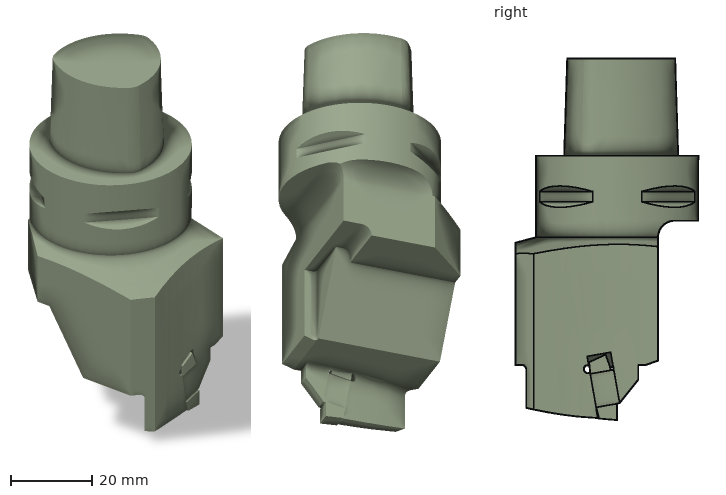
import cadquery as cq
import math

FAR = 53.4

SHANK_HEIGHT = 23.9
SHANK_TAPER = 1.8
LOBE_FLAT_REACH = 13.1
LOBE_CENTER_OFFSET = 5.7
LOBE_APEX_REACH = 15.0

FLANGE_RADIUS = 40.0 / 2
FLANGE_BOTTOM = -20.0
GROOVE_Z = -10.1
GROOVE_FLOOR_DISTANCE = 17.7
GROOVE_FLOOR_HEIGHT = 2.5
GROOVE_MOUTH_HEIGHT = 5.25
UNDERCUT_RADIUS = 4.0

BLOCK_LEFT = -14.9
BLOCK_FRONT = -25.0
BLOCK_BACK = 10.1
BLOCK_BOTTOM = -51.45
LEFT_CHAMFER = 10.95
RIGHT_CHAMFER_X = 24.5
RIGHT_CORNER = (28.5, -20.5)
RIGHT_HOLLOW = (26.5, 1.8)
RIGHT_BACK_X = 26.9
TOP_SLOPE = 15.0
STEP_Z = -34.5
STEP_X = -0.4
SLOPE_END_X = 10.0
NOTCH_Y = 2.7
NOTCH_TOP = -31.9
NOTCH_RADIUS = 2.7
RECESS_WALL_X = 11.6
RECESS_Y = 7.0
RECESS_FILLET = 1.1
BEVEL_DEPTH = 3.0
BEVEL_HEIGHT = 1.1

BLADE_THICKNESS = 3.3
BLADE_FRONT = -22.6
BLADE_FRONT_X = 26.9
BLADE_INNER_BACK_X = 23.7
BLADE_BACK = 5.2
BLADE_ROOT_FILLET = 1.25
NOSE_TOP_Z = -55.1
NOSE_END = (0.5, -60.9)
BLADE_HEEL_Z = -61.95
BLADE_LOW_MID = (-12.5, -63.8)
BLADE_LOW_END = (-4.6, -64.5)

INSERT_Y = -3.0
INSERT_Z = -57.2
INSERT_TILT = 10.0
INSERT_WIDTH = 5.9
INSERT_BAR_LENGTH = 8.4
INSERT_BAR_X = (23.4, 26.5)
INSERT_TIP_X = (23.05, 27.1)
TIP_BACK_SIDE = 2.3
TIP_EDGE = (1.6, 8.2)
TIP_HEEL = (-2.8, 7.0)
SLOT_END = 8.55
RELIEF_RADIUS = 1.0
RELIEF_CENTER = (-3.3, 5.4)


def polar(radius, degrees):
    angle = math.radians(degrees)
    return (radius * math.cos(angle), radius * math.sin(angle))


def make_shank():
    """Three broad arcs blended by three tangent corner arcs, tapered upward."""
    broad_radius = LOBE_FLAT_REACH + LOBE_CENTER_OFFSET
    excess = broad_radius - LOBE_APEX_REACH
    corner_distance = (LOBE_CENTER_OFFSET**2 - excess**2) / (2 * excess - LOBE_CENTER_OFFSET)
    corner = polar(corner_distance, 90)
    center = polar(LOBE_CENTER_OFFSET, 210)
    join = math.degrees(math.atan2(corner[1] - center[1], corner[0] - center[0]))
    broad_end = (
        center[0] + polar(broad_radius, join)[0],
        center[1] + polar(broad_radius, join)[1],
    )
    reach = math.hypot(*broad_end)
    end_angle = math.degrees(math.atan2(broad_end[1], broad_end[0]))
    start_angle = 60 - end_angle
    outline = cq.Workplane("XY").moveTo(*polar(reach, start_angle))
    for turn in (0, 120, 240):
        outline = outline.threePointArc(
            polar(LOBE_FLAT_REACH, 30 + turn), polar(reach, end_angle + turn)
        ).threePointArc(
            polar(LOBE_APEX_REACH, 90 + turn), polar(reach, start_angle + 120 + turn)
        )
    return outline.close().extrude(SHANK_HEIGHT, taper=SHANK_TAPER)


def make_flange():
    flange = cq.Workplane("XY").circle(FLANGE_RADIUS).extrude(FLANGE_BOTTOM)
    depth = FLANGE_RADIUS - GROOVE_FLOOR_DISTANCE
    groove = (
        cq.Workplane("XZ")
        .moveTo(GROOVE_FLOOR_DISTANCE, GROOVE_Z - GROOVE_FLOOR_HEIGHT / 2)
        .lineTo(GROOVE_FLOOR_DISTANCE + depth, GROOVE_Z - GROOVE_MOUTH_HEIGHT / 2)
        .lineTo(GROOVE_FLOOR_DISTANCE + depth, GROOVE_Z + GROOVE_MOUTH_HEIGHT / 2)
        .lineTo(GROOVE_FLOOR_DISTANCE, GROOVE_Z + GROOVE_FLOOR_HEIGHT / 2)
        .close()
        .extrude(FLANGE_RADIUS, both=True)
    )
    for angle in (45, 135, 225, 315):
        flange = flange.cut(groove.rotate((0, 0, 0), (0, 0, 1), angle))

    undercut_top = FLANGE_BOTTOM + UNDERCUT_RADIUS
    left = (
        cq.Workplane("XY")
        .box(FAR, 2 * FAR, FAR)
        .translate((BLOCK_LEFT - FAR / 2, 0, undercut_top - FAR / 2))
        .edges(">X and >Z")
        .fillet(UNDERCUT_RADIUS)
    )
    back = (
        cq.Workplane("XY")
        .box(2 * FAR, FAR, FAR)
        .translate((0, BLOCK_BACK + FAR / 2, undercut_top - FAR / 2))
        .edges("<Y and >Z")
        .fillet(UNDERCUT_RADIUS)
    )
    return flange.cut(left).cut(back)


def make_column(bottom, top):
    """Upright prism with the outline of the block."""
    return (
        cq.Workplane("XY", origin=(0, 0, bottom))
        .moveTo(BLOCK_LEFT, BLOCK_BACK)
        .lineTo(BLOCK_LEFT, BLOCK_FRONT + LEFT_CHAMFER)
        .lineTo(BLOCK_LEFT + LEFT_CHAMFER, BLOCK_FRONT)
        .lineTo(RIGHT_CHAMFER_X, BLOCK_FRONT)
        .lineTo(*RIGHT_CORNER)
        .threePointArc(RIGHT_HOLLOW, (RIGHT_BACK_X, BLOCK_BACK))
        .close()
        .extrude(top - bottom)
    )


def below_slope(top):
    """Space under the slanted lower side of the block, up to a given height."""
    run = (SLOPE_END_X - STEP_X) / (STEP_Z - BLOCK_BOTTOM)
    slope_top_x = STEP_X - (top - STEP_Z) * run
    return (
        cq.Workplane("XZ")
        .polyline(
            [(-FAR, top), (slope_top_x, top), (SLOPE_END_X, BLOCK_BOTTOM), (-FAR, BLOCK_BOTTOM)]
        )
        .close()
        .extrude(FAR, both=True)
    )


def make_block():
    cone_drop = (FAR - FLANGE_RADIUS) * math.tan(math.radians(TOP_SLOPE))
    cone = (
        cq.Workplane("XZ")
        .polyline(
            [
                (0, FLANGE_BOTTOM),
                (FLANGE_RADIUS, FLANGE_BOTTOM),
                (FAR, FLANGE_BOTTOM - cone_drop),
                (FAR, BLOCK_BOTTOM),
                (0, BLOCK_BOTTOM),
            ]
        )
        .close()
        .revolve(360, (0, 0, 0), (0, 1, 0))
    )
    block = make_column(BLOCK_BOTTOM, FLANGE_BOTTOM).intersect(cone)
    block = block.cut(below_slope(STEP_Z))

    notch = (
        cq.Workplane("XY")
        .box(2 * FAR, FAR, FAR)
        .translate((0, NOTCH_Y + FAR / 2, NOTCH_TOP - FAR / 2))
        .edges("<Y and >Z")
        .fillet(NOTCH_RADIUS)
    )
    block = block.cut(notch.intersect(below_slope(NOTCH_TOP)))

    recess = (
        cq.Workplane("XY", origin=(0, 0, BLOCK_BOTTOM))
        .moveTo(-FAR, FAR)
        .lineTo(RECESS_WALL_X, FAR)
        .lineTo(RECESS_WALL_X, RECESS_Y + RECESS_FILLET)
        .tangentArcPoint((RECESS_WALL_X - RECESS_FILLET, RECESS_Y), relative=False)
        .lineTo(-FAR, RECESS_Y)
        .close()
        .extrude(NOTCH_TOP - BLOCK_BOTTOM)
    )
    bevel = (
        cq.Workplane("YZ")
        .polyline(
            [
                (BLOCK_BACK - BEVEL_DEPTH, BLOCK_BOTTOM),
                (BLOCK_BACK, BLOCK_BOTTOM + BEVEL_HEIGHT),
                (BLOCK_BACK, BLOCK_BOTTOM),
            ]
        )
        .close()
        .extrude(FAR, both=True)
    )
    return block.cut(recess).cut(bevel)


def make_blade():
    """Arc-shaped blade flush with the right side of the block."""
    low = BLOCK_BOTTOM - FAR
    column = make_column(low, BLOCK_BOTTOM)
    inner = (
        cq.Workplane("XY", origin=(0, 0, low))
        .moveTo(-FAR, BLADE_FRONT)
        .lineTo(BLADE_FRONT_X, BLADE_FRONT)
        .threePointArc(
            (RIGHT_HOLLOW[0] - BLADE_THICKNESS, RIGHT_HOLLOW[1]),
            (BLADE_INNER_BACK_X, BLOCK_BACK),
        )
        .lineTo(-FAR, BLOCK_BACK)
        .close()
        .extrude(FAR)
    )
    side = (
        cq.Workplane("YZ")
        .moveTo(BLADE_BACK, BLOCK_BOTTOM)
        .lineTo(BLADE_BACK, NOSE_TOP_Z)
        .lineTo(*NOSE_END)
        .lineTo(*BLADE_LOW_END)
        .threePointArc(BLADE_LOW_MID, (BLADE_FRONT, BLADE_HEEL_Z))
        .lineTo(BLADE_FRONT, BLOCK_BOTTOM)
        .close()
        .extrude(FAR)
    )
    return column.cut(inner).intersect(side)


def fillet_blade_root(body):
    """Fillet the inner edges where the blade leaves the block."""
    margin = 0.2
    root = cq.selectors.BoxSelector(
        (INSERT_BAR_X[0] - margin, BLADE_FRONT - margin, BLOCK_BOTTOM - margin),
        (RIGHT_CORNER[0] - 0.9, BLADE_BACK - margin, BLOCK_BOTTOM + margin),
    )
    return body.edges(root).fillet(BLADE_ROOT_FILLET)


def place_insert_shape(points, x_range):
    """Extrude an (across, along) outline over an X range and tilt it into place."""
    return (
        cq.Workplane("YZ")
        .polyline(points)
        .close()
        .extrude(x_range[1] - x_range[0])
        .rotate((0, 0, 0), (1, 0, 0), INSERT_TILT)
        .translate((x_range[0], INSERT_Y, INSERT_Z))
    )


def make_insert():
    half_width = INSERT_WIDTH / 2
    half_bar = INSERT_BAR_LENGTH / 2
    bar_outline = [
        (-half_width, -half_bar),
        (half_width, -half_bar),
        (half_width, half_bar),
        (-half_width, half_bar),
    ]
    insert = place_insert_shape(bar_outline, INSERT_BAR_X)
    for end in (-1, 1):
        tip_outline = [
            (TIP_BACK_SIDE, end * half_bar),
            (TIP_EDGE[0], end * TIP_EDGE[1]),
            (TIP_HEEL[0], end * TIP_HEEL[1]),
            (-half_width, end * half_bar),
        ]
        insert = insert.union(place_insert_shape(tip_outline, INSERT_TIP_X))
    return insert


def cut_insert_slot(body):
    """Slot for the insert, open at the right side, with a round corner relief."""
    half_width = INSERT_WIDTH / 2
    slot_x = (INSERT_TIP_X[0], FAR)
    slot_outline = [
        (-half_width, -FAR),
        (half_width, -FAR),
        (half_width, SLOT_END),
        (-half_width, SLOT_END),
    ]
    relief = (
        cq.Workplane("YZ")
        .center(*RELIEF_CENTER)
        .circle(RELIEF_RADIUS)
        .extrude(slot_x[1] - slot_x[0])
        .rotate((0, 0, 0), (1, 0, 0), INSERT_TILT)
        .translate((slot_x[0], INSERT_Y, INSERT_Z))
    )
    return body.cut(place_insert_shape(slot_outline, slot_x)).cut(relief)


def make_holder():
    body = make_shank().union(make_flange()).union(make_block()).union(make_blade())
    return cut_insert_slot(fillet_blade_root(body))


holder = make_holder()
insert = make_insert()

result = cq.Compound.makeCompound([holder.solids().val(), insert.solids().val()])